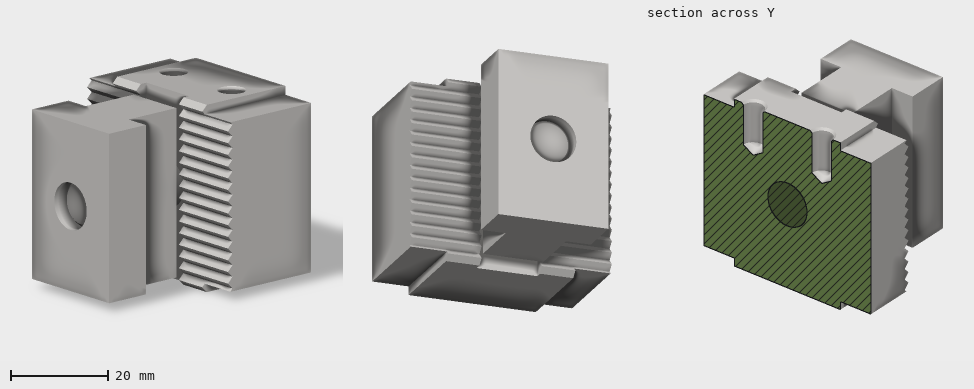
import cadquery as cq
import math


total_depth = 46.4

jaw_width = 44.0
jaw_height = 40.0
raised_width = 28.0
shoulder_height = 36.2
jaw_root_depth = 21.45
tooth_count = 16
tooth_pitch = jaw_height / tooth_count
tooth_height = tooth_pitch / 2
slot_floor_depth = 19.9
root_y = total_depth - jaw_root_depth
tip_y = root_y - tooth_height
slot_floor_y = total_depth - slot_floor_depth

hole_spacing = 18.05
hole_inset = 10.35
hole_diameter = 5.0
hole_chamfer = 0.5
hole_depth = 10.0
drill_point_angle = 118.0

nut_height = shoulder_height
head_width = 24.17
head_depth = 9.98
neck_width = 13.3
nut_depth = 23.0

stud_diameter = 10.1
stud_chamfer = 0.75
stud_recess = 2.75
stud_engagement = stud_diameter
stud_end_y = slot_floor_y + stud_engagement


def block(width, height, front_y, back_y):
    """Box centred on X and Z, spanning front_y to back_y."""
    return (
        cq.Workplane("XY")
        .box(width, back_y - front_y, height)
        .translate((0, (front_y + back_y) / 2, 0))
    )


def rod(diameter, front_y, back_y):
    """Cylinder along Y on the common stud axis."""
    return (
        cq.Workplane("XZ", origin=(0, front_y, 0))
        .circle(diameter / 2)
        .extrude(front_y - back_y)
    )


def serrated_body():
    """Full-size jaw block whose front face carries a row of V teeth."""
    bottom_z = -jaw_height / 2
    outline = [(total_depth, bottom_z), (root_y, bottom_z)]
    for tooth in range(tooth_count):
        tooth_z = bottom_z + tooth * tooth_pitch
        outline.append((tip_y, tooth_z + tooth_pitch / 2))
        outline.append((root_y, tooth_z + tooth_pitch))
    outline.append((total_depth, jaw_height / 2))
    return cq.Workplane("YZ").polyline(outline).close().extrude(jaw_width / 2, both=True)


def drilled_hole(x):
    """Cutter for a chamfered blind hole with a conical drill point."""
    radius = hole_diameter / 2
    point_length = radius / math.tan(math.radians(drill_point_angle / 2))
    half_section = [
        (0, 0),
        (radius + hole_chamfer, 0),
        (radius, -hole_chamfer),
        (radius, -hole_depth),
        (0, -hole_depth - point_length),
    ]
    return (
        cq.Workplane("XZ")
        .polyline(half_section)
        .close()
        .revolve(360, (0, 0), (0, 1))
        .translate((x, total_depth - hole_inset, jaw_height / 2))
    )


def make_jaw():
    envelope = block(jaw_width, shoulder_height, tip_y, total_depth).union(
        block(raised_width, jaw_height, tip_y, total_depth)
    )
    jaw = serrated_body().intersect(envelope)
    key_slot = block(neck_width, jaw_height, tip_y, slot_floor_y)
    jaw = jaw.cut(key_slot)
    for x in (-hole_spacing / 2, hole_spacing / 2):
        jaw = jaw.cut(drilled_hole(x))
    return jaw.cut(rod(stud_diameter, slot_floor_y, stud_end_y))


def make_t_nut():
    head = block(head_width, nut_height, 0, head_depth)
    neck = block(neck_width, nut_height, 0, nut_depth)
    return head.union(neck).cut(rod(stud_diameter, 0, nut_depth))


def make_stud():
    return rod(stud_diameter, stud_recess, stud_end_y).faces("<Y").chamfer(stud_chamfer)


jaw = make_jaw()
t_nut = make_t_nut()
stud = make_stud()

result = cq.Compound.makeCompound([jaw.val(), t_nut.val(), stud.val()])